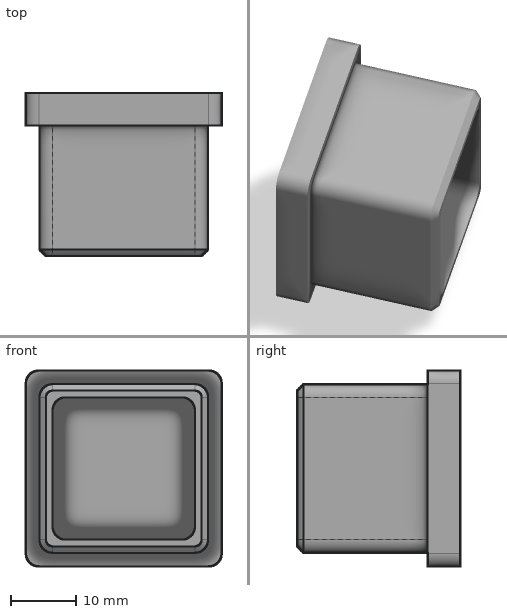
import cadquery as cq

flange_size = 30.0
flange_thickness = 5.0
total_depth = 25.0
body_size = 25.8
wall = 2.0
corner_radius = 2.0
lead_in_chamfer = 1.0

body_length = total_depth - flange_thickness
cavity_size = body_size - 2 * wall
cavity_depth = body_length


def rounded_square_block(size, length, start_y):
    """Square block with rounded edges along Y, running from start_y towards -Y."""
    block = cq.Workplane("XZ").workplane(offset=-start_y).rect(size, size).extrude(length)
    return block.edges("|Y").fillet(corner_radius)


flange = rounded_square_block(flange_size, flange_thickness, total_depth)

body = rounded_square_block(body_size, body_length, body_length)
body = body.faces("<Y").edges().chamfer(lead_in_chamfer)

cavity = rounded_square_block(cavity_size, cavity_depth, cavity_depth)

result = flange.union(body).cut(cavity)